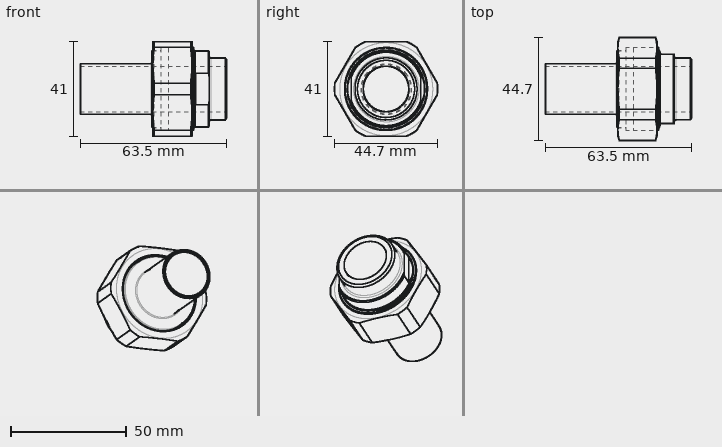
import cadquery as cq
import math


bore_dia = 19.6
thread_dia = 36.0
total_length = 63.5

tube_dia = 22.0
tube_rim_chamfer = 0.25
collar_dia = 33.0
collar_start = 31.0
collar_edge_fillet = 0.3
tube_root_fillet = 0.45
shoulder_start = 34.9
joint_plane = 38.1

nut_start = 31.4
nut_length = 17.1
across_flats = 41.0
corner_dia = 44.7
nut_face_dia = 40.3
nut_chamfer_length = 0.7
nut_lip_bore_dia = 33.5
nut_lip_chamfer = 0.5
nut_end = nut_start + nut_length

spigot_end = 49.1
spigot_edge_chamfer = 0.25
ring_dia = 33.5
ring_end = 49.7
ring_taper_start = 49.3
barrel_dia = 33.0
barrel_end = 55.9
barrel_chamfer_length = 0.4
barrel_chamfer_depth = 0.65
flats_width = 30.1
flat_start = 50.0
flat_runout = 0.5
end_dia = 26.9
end_root_fillet = 0.7
end_chamfer_length = 0.75
end_chamfer_depth = 1.1


def revolve_about_x(profile):
    """Turn a closed (x, radius) profile about the X axis."""
    return profile.close().revolve(360, (0, 0, 0), (1, 0, 0))


def rod(diameter, start, end):
    """Solid cylinder along X."""
    return cq.Workplane("YZ", origin=(start, 0, 0)).circle(diameter / 2).extrude(end - start)


def make_tailpiece():
    bore_r = bore_dia / 2
    tube_r = tube_dia / 2
    collar_r = collar_dia / 2
    profile = (
        cq.Workplane("XY")
        .moveTo(0, bore_r + tube_rim_chamfer)
        .lineTo(0, tube_r - tube_rim_chamfer)
        .lineTo(tube_rim_chamfer, tube_r)
        .lineTo(collar_start - tube_root_fillet, tube_r)
        .radiusArc((collar_start, tube_r + tube_root_fillet), -tube_root_fillet)
        .lineTo(collar_start, collar_r - collar_edge_fillet)
        .radiusArc((collar_start + collar_edge_fillet, collar_r), collar_edge_fillet)
        .lineTo(shoulder_start, collar_r)
        .lineTo(shoulder_start, thread_dia / 2)
        .lineTo(joint_plane, thread_dia / 2)
        .lineTo(joint_plane, bore_r)
        .lineTo(tube_rim_chamfer, bore_r)
    )
    return revolve_about_x(profile)


def make_nut():
    across_corners = across_flats / math.cos(math.radians(30))
    hexagon = cq.Workplane("YZ", origin=(nut_start, 0, 0)).polygon(6, across_corners).extrude(nut_length)

    face_r = nut_face_dia / 2
    corner_r = corner_dia / 2
    envelope = revolve_about_x(
        cq.Workplane("XY")
        .moveTo(nut_start, 0)
        .lineTo(nut_start, face_r)
        .lineTo(nut_start + nut_chamfer_length, corner_r)
        .lineTo(nut_end - nut_chamfer_length, corner_r)
        .lineTo(nut_end, face_r)
        .lineTo(nut_end, 0)
    )

    lip_r = nut_lip_bore_dia / 2
    stepped_bore = revolve_about_x(
        cq.Workplane("XY")
        .moveTo(nut_start, 0)
        .lineTo(nut_start, lip_r + nut_lip_chamfer)
        .lineTo(nut_start + nut_lip_chamfer, lip_r)
        .lineTo(shoulder_start, lip_r)
        .lineTo(shoulder_start, thread_dia / 2)
        .lineTo(nut_end, thread_dia / 2)
        .lineTo(nut_end, 0)
    )
    return hexagon.intersect(envelope).cut(stepped_bore)


def make_body():
    spigot_r = thread_dia / 2
    barrel_r = barrel_dia / 2
    end_r = end_dia / 2
    turned = revolve_about_x(
        cq.Workplane("XY")
        .moveTo(joint_plane, 0)
        .lineTo(joint_plane, spigot_r)
        .lineTo(spigot_end - spigot_edge_chamfer, spigot_r)
        .lineTo(spigot_end, spigot_r - spigot_edge_chamfer)
        .lineTo(spigot_end, ring_dia / 2)
        .lineTo(ring_taper_start, ring_dia / 2)
        .lineTo(ring_end, barrel_r)
        .lineTo(barrel_end - barrel_chamfer_length, barrel_r)
        .lineTo(barrel_end, barrel_r - barrel_chamfer_depth)
        .lineTo(barrel_end, end_r + end_root_fillet)
        .radiusArc((barrel_end + end_root_fillet, end_r), -end_root_fillet)
        .lineTo(total_length - end_chamfer_length, end_r)
        .lineTo(total_length, end_r - end_chamfer_depth)
        .lineTo(total_length, 0)
    )

    flat_y = flats_width / 2
    flat_cutter = (
        cq.Workplane("XY")
        .moveTo(flat_start, flat_y)
        .lineTo(flat_start - flat_runout, barrel_r)
        .lineTo(flat_start - flat_runout, spigot_r)
        .lineTo(barrel_end, spigot_r)
        .lineTo(barrel_end, flat_y)
        .close()
        .extrude(barrel_r, both=True)
    )
    for cutter in (flat_cutter, flat_cutter.mirror("XZ")):
        turned = turned.cut(cutter)
    return turned.cut(rod(bore_dia, joint_plane, total_length))


tailpiece = make_tailpiece()
nut = make_nut()
body = make_body()

result = cq.Compound.makeCompound([tailpiece.val(), nut.val(), body.val()])